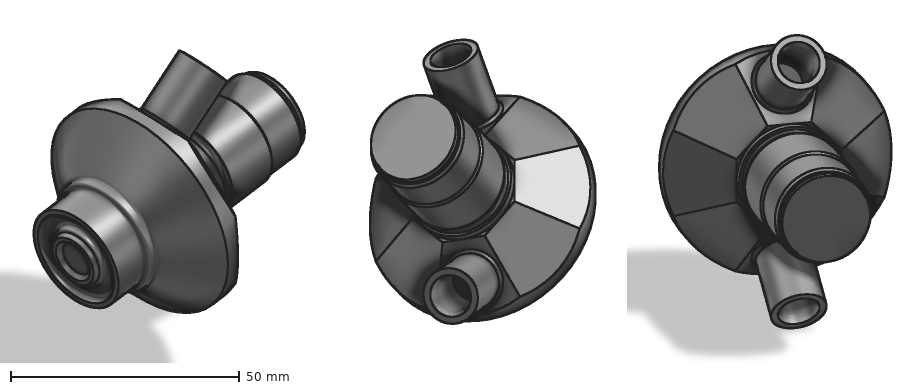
import cadquery as cq
import math


rim_station = 1.0
collar_front = 9.45
collar_back = 11.5
cone_front = 12.3
disc_front = 21.9
head_back = 35.0
flange_back = 37.05
groove_back = 39.65
barrel_step = 52.6
nose_start = 62.5
nose_step = 63.5
total_length = 65.0

disc_radius = 52.0 / 2
collar_radius = 28.0 / 2
sleeve_radius = 25.0 / 2
flange_radius = 24.0 / 2
barrel_radius = 23.0 / 2
shank_radius = 22.0 / 2
shank_end_radius = 21.0 / 2
groove_radius = 10.7
groove_edge_radius = 11.35
tip_radius = 20.0 / 2
collar_round = 0.5
cone_neck_angle = 50.0

recess_radius = 22.5 / 2
recess_depth = 2.05
recess_outer_round = 1.5
plug_tip_radius = 6.05
plug_root_radius = 6.65
plug_shoulder_radius = 7.4
plug_shoulder_station = 1.3
plug_shoulder_round = 0.5
recess_inner_round = 1.2
socket_mouth_radius = 5.0
socket_floor_radius = 4.0
socket_depth = 1.2

facet_count = 8
tube_elevation = 35.0
tube_end_height = 34.0
tube_length = 16.0
tube_radius = 12.5 / 2
tube_bore_radius = 9.0 / 2
tube_mouth_radius = 9.4 / 2
tube_mouth_depth = 2.25
tube_flare = 14.0 / 2 - tube_radius
flare_taper = 44.0


def make_front():
    """Front cone, collar and sleeve, with the recess around the central plug.

    Along the profile a positive arc radius rounds an outside corner and a
    negative one fills an inside corner.
    """
    neck_angle = math.radians(cone_neck_angle)
    neck_round = (cone_front - collar_back) / math.sin(neck_angle)
    neck_rise = neck_round * (1 - math.cos(neck_angle))
    collar_face = collar_front + collar_round
    floor_station = rim_station + recess_depth
    profile = (
        cq.Workplane("XZ")
        .moveTo(0, disc_front)
        .lineTo(disc_radius, disc_front)
        .lineTo(collar_radius + neck_rise, cone_front)
        .radiusArc((collar_radius, collar_back), -neck_round)
        .lineTo(collar_radius, collar_face + collar_round)
        .radiusArc((collar_radius - collar_round, collar_face), collar_round)
        .lineTo(sleeve_radius + collar_round, collar_face)
        .radiusArc((sleeve_radius, collar_front), -collar_round)
        .lineTo(sleeve_radius, rim_station)
        .lineTo(recess_radius, rim_station)
        .lineTo(recess_radius, floor_station - recess_outer_round)
        .radiusArc((recess_radius - recess_outer_round, floor_station), -recess_outer_round)
        .lineTo(plug_shoulder_radius + recess_inner_round, floor_station)
        .radiusArc((plug_shoulder_radius, floor_station - recess_inner_round), -recess_inner_round)
        .lineTo(plug_shoulder_radius, plug_shoulder_station + plug_shoulder_round)
        .radiusArc(
            (plug_shoulder_radius - plug_shoulder_round, plug_shoulder_station),
            plug_shoulder_round,
        )
        .lineTo(plug_root_radius, plug_shoulder_station)
        .lineTo(plug_tip_radius, 0)
        .lineTo(socket_mouth_radius, 0)
        .lineTo(socket_floor_radius, socket_depth)
        .lineTo(0, socket_depth)
        .close()
    )
    return profile.revolve(360, (0, 0), (0, 1))


def make_faceted_disc():
    """Disc whose back is cut by flat sloping facets."""
    height = head_back - disc_front
    facet_angle = 90 - tube_elevation
    base_apothem = flange_radius + height * math.tan(math.radians(facet_angle))
    base_diameter = 2 * base_apothem / math.cos(math.pi / facet_count)
    pyramid = (
        cq.Workplane("XY", origin=(0, 0, disc_front))
        .transformed(rotate=(0, 0, 180 / facet_count))
        .polygon(facet_count, base_diameter)
        .extrude(height, taper=facet_angle)
    )
    disc = cq.Workplane("XY", origin=(0, 0, disc_front)).circle(disc_radius).extrude(height)
    return disc.intersect(pyramid)


def make_rear_shank():
    """Stepped rear shank with a round groove behind its flange."""
    step_chamfer = barrel_radius - shank_radius
    profile = (
        cq.Workplane("XZ")
        .moveTo(0, head_back)
        .lineTo(flange_radius, head_back)
        .lineTo(flange_radius, flange_back)
        .lineTo(groove_edge_radius, flange_back)
        .threePointArc(
            (groove_radius, (flange_back + groove_back) / 2),
            (groove_edge_radius, groove_back),
        )
        .lineTo(barrel_radius, groove_back)
        .lineTo(barrel_radius, barrel_step)
        .lineTo(shank_radius, barrel_step + step_chamfer)
        .lineTo(shank_radius, nose_start)
        .lineTo(shank_end_radius, nose_step)
        .lineTo(tip_radius, nose_step)
        .lineTo(tip_radius, total_length)
        .lineTo(0, total_length)
        .close()
    )
    return profile.revolve(360, (0, 0), (0, 1))


def make_tube(side):
    """Flared tube with its bore, square to the facet that faces +Y or -Y."""
    elevation = math.radians(tube_elevation)
    end_height = tube_end_height - tube_radius * math.cos(elevation)
    foot_height = end_height - tube_length * math.sin(elevation)
    facet_setback = (foot_height - flange_radius) * math.tan(elevation)
    foot = cq.Plane(
        origin=(0, side * foot_height, head_back - facet_setback),
        xDir=(1, 0, 0),
        normal=(0, side * math.sin(elevation), math.cos(elevation)),
    )
    blank = cq.Workplane(foot).circle(tube_radius).extrude(tube_length)
    flare = (
        cq.Workplane(foot)
        .circle(tube_radius + tube_flare)
        .extrude(tube_flare, taper=flare_taper)
    )
    bore = cq.Workplane(foot).circle(tube_bore_radius).extrude(tube_length)
    mouth = (
        cq.Workplane(foot)
        .workplane(offset=tube_length - tube_mouth_depth)
        .circle(tube_bore_radius)
        .workplane(offset=tube_mouth_depth)
        .circle(tube_mouth_radius)
        .loft()
    )
    return blank.union(flare).cut(bore).cut(mouth)


body = make_front().union(make_faceted_disc()).union(make_rear_shank())
for side in (-1, 1):
    body = body.union(make_tube(side))

result = body.rotate((0, 0, 0), (1, 0, 0), -90)